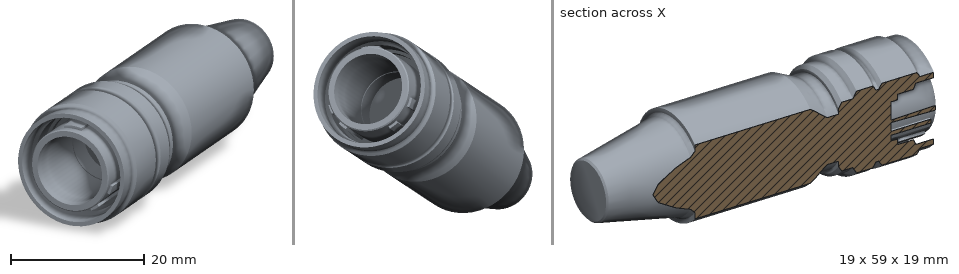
import cadquery as cq

LENGTH = 59.0

NUT_RADIUS = 9.5
NUT_FRONT = 3.0
NUT_BACK = 15.3
NUT_FRONT_CHAMFER = 0.6
NUT_BACK_CHAMFER = 0.7
GROOVE_CENTER = 10.8
GROOVE_FLOOR_WIDTH = 0.5
GROOVE_DEPTH = 0.6

SLEEVE_RADIUS = 8.9
SLEEVE_FRONT = 0.5

COLLAR_RADIUS = 8.75
COLLAR_BACK = 17.9
COLLAR_CHAMFER = 0.6
NECK_RADIUS = 7.6
NECK_BACK = 19.95

BODY_RADIUS = 9.0
BODY_FRONT = 23.0
BODY_BACK = 44.0
FLARE_LENGTH = 0.8
FLARE_RADIUS = 8.3
TAIL_BASE_RADIUS = 7.85
TAIL_END_RADIUS = 5.1
TAIL_CHAMFER = 0.3

RECESS_RADIUS = 8.25
RECESS_INNER_RADIUS = 7.7
RECESS_TAPER_START = 3.8
RECESS_TAPER_LENGTH = 0.4
RECESS_SHOULDER = 7.1
RECESS_FLOOR_RADIUS = 7.25
RECESS_DEPTH = 8.25

TUBE_RADIUS = 6.5
TUBE_TIP_RADIUS = 6.3
TUBE_TIP_LENGTH = 0.2
BORE_RADIUS = 5.4
BORE_SHOULDER = 11.8
BORE_END_RADIUS = 5.3
BORE_DEPTH = 15.35

KEY_RADIUS = 6.9
KEY_FRONT = 1.0
WIDE_KEY_WIDTH = 2.9
WIDE_KEY_ANGLE = 90.0
NARROW_KEY_WIDTH = 1.5
NARROW_KEY_ANGLES = (200.5, 229.0, 303.0, 339.5)


def revolve_profile(points):
    """Turn a closed (radius, y) outline around the Y axis."""
    return cq.Workplane("XY").polyline(points).close().revolve(360, (0, 0, 0), (0, 1, 0))


def rod(radius, start, end):
    """Solid cylinder along Y from start to end."""
    return cq.Workplane("XZ", origin=(0, start, 0)).circle(radius).extrude(start - end)


def make_shell():
    groove_half = GROOVE_FLOOR_WIDTH / 2
    groove_radius = NUT_RADIUS - GROOVE_DEPTH
    groove_front = GROOVE_CENTER - groove_half
    groove_back = GROOVE_CENTER + groove_half
    return revolve_profile([
        (0, SLEEVE_FRONT),
        (SLEEVE_RADIUS, SLEEVE_FRONT),
        (SLEEVE_RADIUS, NUT_FRONT),
        (NUT_RADIUS, NUT_FRONT + NUT_FRONT_CHAMFER),
        (NUT_RADIUS, groove_front - GROOVE_DEPTH),
        (groove_radius, groove_front),
        (groove_radius, groove_back),
        (NUT_RADIUS, groove_back + GROOVE_DEPTH),
        (NUT_RADIUS, NUT_BACK - NUT_BACK_CHAMFER),
        (COLLAR_RADIUS, NUT_BACK),
        (COLLAR_RADIUS, COLLAR_BACK - COLLAR_CHAMFER),
        (COLLAR_RADIUS - COLLAR_CHAMFER, COLLAR_BACK),
        (NECK_RADIUS, COLLAR_BACK),
        (NECK_RADIUS, NECK_BACK),
        (BODY_RADIUS, BODY_FRONT),
        (BODY_RADIUS, BODY_BACK),
        (FLARE_RADIUS, BODY_BACK),
        (TAIL_BASE_RADIUS, BODY_BACK + FLARE_LENGTH),
        (TAIL_END_RADIUS, LENGTH - TAIL_CHAMFER),
        (TAIL_END_RADIUS - TAIL_CHAMFER, LENGTH),
        (0, LENGTH),
    ])


def make_recess():
    taper_end = RECESS_TAPER_START + RECESS_TAPER_LENGTH
    return revolve_profile([
        (0, 0),
        (RECESS_RADIUS, 0),
        (RECESS_RADIUS, RECESS_TAPER_START),
        (RECESS_INNER_RADIUS, taper_end),
        (RECESS_INNER_RADIUS, RECESS_SHOULDER),
        (RECESS_FLOOR_RADIUS, RECESS_SHOULDER),
        (RECESS_FLOOR_RADIUS, RECESS_DEPTH),
        (0, RECESS_DEPTH),
    ])


def make_key(width, angle):
    """Raised strip along the plug tube, pointing outwards at the given angle."""
    limits = cq.Workplane("XY").box(KEY_RADIUS, LENGTH, width, centered=(False, True, True))
    limits = limits.rotate((0, 0, 0), (0, 1, 0), -angle)
    return rod(KEY_RADIUS, KEY_FRONT, RECESS_DEPTH).intersect(limits)


def make_plug():
    plug = revolve_profile([
        (0, 0),
        (TUBE_TIP_RADIUS, 0),
        (TUBE_RADIUS, TUBE_TIP_LENGTH),
        (TUBE_RADIUS, RECESS_DEPTH),
        (0, RECESS_DEPTH),
    ])
    plug = plug.union(make_key(WIDE_KEY_WIDTH, WIDE_KEY_ANGLE))
    for angle in NARROW_KEY_ANGLES:
        plug = plug.union(make_key(NARROW_KEY_WIDTH, angle))
    return plug


def make_bore():
    entry = rod(BORE_RADIUS, 0, BORE_SHOULDER)
    return entry.union(rod(BORE_END_RADIUS, 0, BORE_DEPTH))


result = make_shell().cut(make_recess()).union(make_plug()).cut(make_bore())